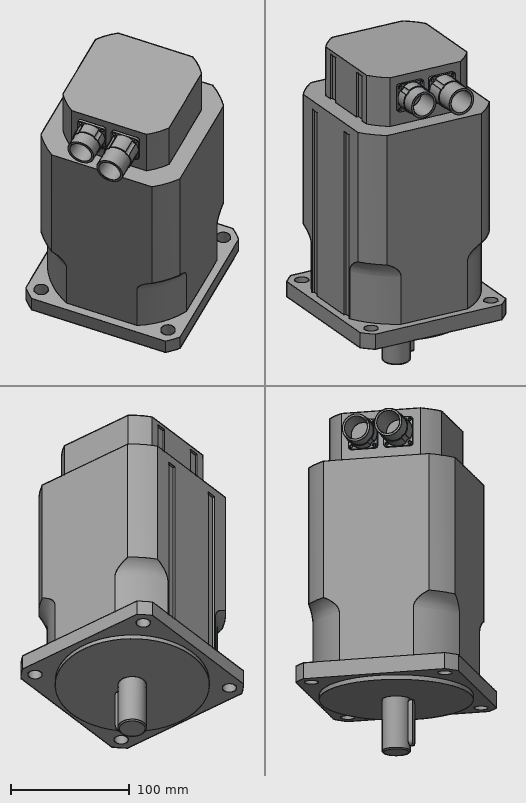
import cadquery as cq
import math


FLANGE_SIDE = 142.0
FLANGE_THICKNESS = 14.0
FLANGE_CORNER_RADIUS = 94.0
SPIGOT_DIAMETER = 130.0
SPIGOT_HEIGHT = 4.0
BOLT_HOLE_DIAMETER = 12.0
BOLT_CIRCLE_DIAMETER = 165.0
BOLT_HOLE_COUNT = 4

SHAFT_DIAMETER = 24.0
SHAFT_LENGTH = 50.0
SHAFT_CHAMFER = 1.1
KEY_LENGTH = 40.0
KEY_WIDTH = 8.0
KEY_TOP = 15.2
KEY_GAP = 1.1

HOUSING_SIDE = 128.0
HOUSING_CORNER_RADIUS = 79.0
RELIEF_RADIUS = 71.8
RELIEF_HEIGHT = 43.8
RELIEF_BLEND_RADIUS = 17.2

OVERALL_HEIGHT = 286.0
CAP_SIDE = 97.8
CAP_HEIGHT = 45.0
CAP_CORNER_RADIUS = 59.8

GROOVE_DEPTH = 2.0
HOUSING_GROOVE_WIDTH = 8.0
HOUSING_GROOVE_SPACING = 53.5
HOUSING_GROOVE_TOP_GAP = 8.0
CAP_GROOVE_WIDTH = 9.0
CAP_GROOVE_SPACING = 44.0
CAP_GROOVE_TOP_GAP = 3.7

CONNECTOR_SPACING = 31.0
CONNECTOR_DROP = 20.0
CONNECTOR_PLATE_SIDE = 25.2
CONNECTOR_PLATE_THICKNESS = 2.3
COLLAR_DIAMETER = CONNECTOR_PLATE_SIDE
SCREW_HOLE_DIAMETER = 2.7
SCREW_HOLE_OFFSET = 10.0
SCREW_NOTCH_DIAMETER = 5.7
SOCKET_DIAMETER = 23.7
SOCKET_BORE = 20.0
SHORT_COLLAR_END = 12.0
SHORT_CONNECTOR_LENGTH = 24.0
LONG_COLLAR_END = 17.5
LONG_CONNECTOR_LENGTH = 34.0

CAP_TOP = OVERALL_HEIGHT - SHAFT_LENGTH
HOUSING_TOP = CAP_TOP - CAP_HEIGHT


def round_cornered_block(side, corner_radius, bottom, top):
    """A square block whose corners are turned to a radius about the Z axis."""
    height = top - bottom
    block = cq.Workplane("XY", origin=(0, 0, bottom)).rect(side, side).extrude(height)
    turned = cq.Workplane("XY", origin=(0, 0, bottom)).circle(corner_radius).extrude(height)
    return block.intersect(turned)


def make_flange():
    flange = round_cornered_block(FLANGE_SIDE, FLANGE_CORNER_RADIUS, 0, FLANGE_THICKNESS)
    bolt_holes = (
        cq.Workplane("XY")
        .polarArray(BOLT_CIRCLE_DIAMETER / 2, 45, 360, BOLT_HOLE_COUNT)
        .circle(BOLT_HOLE_DIAMETER / 2)
        .extrude(FLANGE_THICKNESS)
    )
    spigot = cq.Workplane("XY").circle(SPIGOT_DIAMETER / 2).extrude(-SPIGOT_HEIGHT)
    return flange.union(spigot).cut(bolt_holes)


def make_shaft():
    shaft = cq.Workplane("XY").circle(SHAFT_DIAMETER / 2).extrude(-SHAFT_LENGTH)
    shaft = shaft.faces("<Z").chamfer(SHAFT_CHAMFER)
    key_center = -SPIGOT_HEIGHT - KEY_GAP - KEY_LENGTH / 2
    key = (
        cq.Workplane("YZ", origin=(0, 0, key_center))
        .slot2D(KEY_LENGTH, KEY_WIDTH, 90)
        .extrude(KEY_TOP)
    )
    return shaft.union(key)


def make_corner_relief():
    """A ring around the housing's foot, cut away down to a radius and blended out at its top."""
    blend_start = FLANGE_THICKNESS + RELIEF_HEIGHT
    outer_radius = RELIEF_RADIUS + RELIEF_BLEND_RADIUS
    blend_end = blend_start + RELIEF_BLEND_RADIUS
    blend_middle = (
        outer_radius - RELIEF_BLEND_RADIUS * math.cos(math.radians(45)),
        blend_start + RELIEF_BLEND_RADIUS * math.sin(math.radians(45)),
    )
    return (
        cq.Workplane("XZ")
        .moveTo(outer_radius, FLANGE_THICKNESS)
        .lineTo(RELIEF_RADIUS, FLANGE_THICKNESS)
        .lineTo(RELIEF_RADIUS, blend_start)
        .threePointArc(blend_middle, (outer_radius, blend_end))
        .close()
        .revolve(360, (0, 0, 0), (0, 1, 0))
    )


def make_grooves(side, width, spacing, bottom, top):
    """A pair of vertical grooves in the -X face of a block with the given side."""
    return (
        cq.Workplane("YZ", origin=(-side / 2, 0, (bottom + top) / 2))
        .pushPoints([(-spacing / 2, 0), (spacing / 2, 0)])
        .rect(width, top - bottom)
        .extrude(GROOVE_DEPTH)
    )


def make_housing():
    housing = round_cornered_block(HOUSING_SIDE, HOUSING_CORNER_RADIUS, FLANGE_THICKNESS, HOUSING_TOP)
    grooves = make_grooves(
        HOUSING_SIDE,
        HOUSING_GROOVE_WIDTH,
        HOUSING_GROOVE_SPACING,
        FLANGE_THICKNESS,
        HOUSING_TOP - HOUSING_GROOVE_TOP_GAP,
    )
    return housing.cut(make_corner_relief()).cut(grooves)


def make_cap():
    cap = round_cornered_block(CAP_SIDE, CAP_CORNER_RADIUS, HOUSING_TOP, CAP_TOP)
    grooves = make_grooves(
        CAP_SIDE,
        CAP_GROOVE_WIDTH,
        CAP_GROOVE_SPACING,
        HOUSING_TOP,
        CAP_TOP - CAP_GROOVE_TOP_GAP,
    )
    return cap.cut(grooves)


def make_motor():
    return make_flange().union(make_shaft()).union(make_housing()).union(make_cap())


def at_screws(plane, diameter, length):
    """Four cylinders standing on the plane at the screw positions of a connector."""
    return (
        plane.rect(2 * SCREW_HOLE_OFFSET, 2 * SCREW_HOLE_OFFSET, forConstruction=True)
        .vertices()
        .circle(diameter / 2)
        .extrude(length)
    )


def make_connector(center_x, collar_end, length):
    """A socket on a square screw plate, standing on the -Y face of the cap."""
    base = cq.Workplane("XZ", origin=(center_x, -CAP_SIDE / 2, CAP_TOP - CONNECTOR_DROP))
    outward = base.workplane(offset=CONNECTOR_PLATE_THICKNESS)

    plate = (
        base.rect(CONNECTOR_PLATE_SIDE, CONNECTOR_PLATE_SIDE)
        .extrude(CONNECTOR_PLATE_THICKNESS)
        .edges("|Y")
        .fillet(CONNECTOR_PLATE_SIDE / 2 - SCREW_HOLE_OFFSET)
    )
    screw_holes = at_screws(base, SCREW_HOLE_DIAMETER, CONNECTOR_PLATE_THICKNESS)

    collar_length = collar_end - CONNECTOR_PLATE_THICKNESS
    collar = outward.circle(COLLAR_DIAMETER / 2).extrude(collar_length)
    socket = outward.circle(SOCKET_DIAMETER / 2).extrude(length - CONNECTOR_PLATE_THICKNESS)
    notches = at_screws(outward, SCREW_NOTCH_DIAMETER, collar_length)

    bore = outward.circle(SOCKET_BORE / 2).extrude(length - CONNECTOR_PLATE_THICKNESS)
    barrel = collar.union(socket).cut(notches).cut(bore)
    return plate.cut(screw_holes).union(barrel)


motor = make_motor()
connectors = [
    make_connector(-CONNECTOR_SPACING / 2, SHORT_COLLAR_END, SHORT_CONNECTOR_LENGTH),
    make_connector(CONNECTOR_SPACING / 2, LONG_COLLAR_END, LONG_CONNECTOR_LENGTH),
]

result = cq.Compound.makeCompound([motor.val(), *[connector.val() for connector in connectors]])